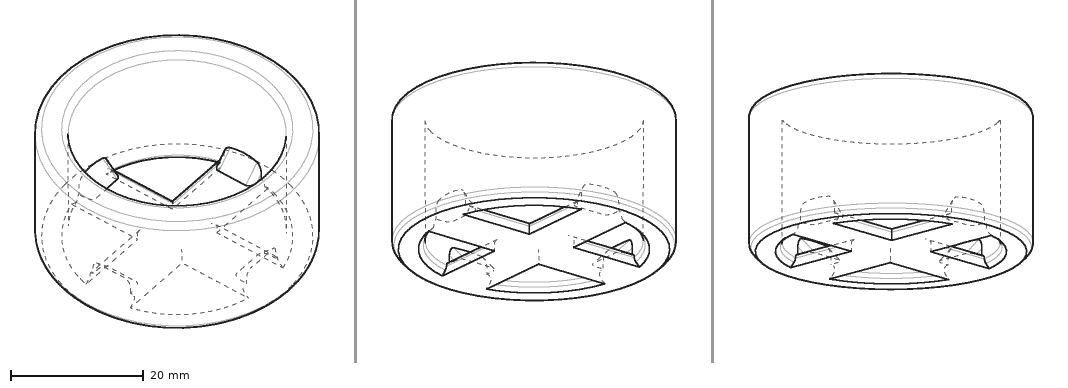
import cadquery as cq

outer_diameter = 43.0
bore_diameter = 33.0
ring_height = 22.0
edge_size = 1.0

bar_width = 8.5
floor_thickness = 2.0
floor_edge_fillet = 0.7

gusset_width = bar_width - 2 * floor_edge_fillet
gusset_fillet = 1.0
gusset_toe_radius = 13.5
gusset_slope = 1.0

outer_radius = outer_diameter / 2
bore_radius = bore_diameter / 2
embed_radius = (outer_radius + bore_radius) / 2


def make_ring():
    """Tube with rounded top rims and chamfered base edges that blend into both walls."""
    ring = cq.Workplane("XY").circle(outer_radius).circle(bore_radius).extrude(ring_height)
    ring = ring.faces("<Z").edges().chamfer(edge_size)
    ring = ring.faces("%CONE").edges("%CIRCLE and (not <Z)").fillet(edge_size)
    return ring.faces(">Z").edges().fillet(edge_size)


def make_floor():
    """Two crossing bars with rounded upper edges."""
    bar_length = 2 * embed_radius
    bar_x = cq.Workplane("XY").rect(bar_length, bar_width).extrude(floor_thickness)
    cross = bar_x.union(bar_x.rotate((0, 0, 0), (0, 0, 1), 90))
    return cross.faces(">Z").edges().fillet(floor_edge_fillet)


def make_gusset():
    """Wedge rising toward +X, with its two sloped edges rounded."""
    run = embed_radius - gusset_toe_radius
    wedge = (
        cq.Workplane("XZ")
        .moveTo(gusset_toe_radius, floor_thickness)
        .lineTo(embed_radius, floor_thickness + run * gusset_slope)
        .lineTo(embed_radius, 0)
        .lineTo(gusset_toe_radius, 0)
        .close()
        .extrude(gusset_width / 2, both=True)
    )
    sloped_edges = cq.selectors.ParallelDirSelector(cq.Vector(1, 0, gusset_slope))
    return wedge.edges(sloped_edges).fillet(gusset_fillet)


result = make_ring().union(make_floor())
gusset = make_gusset()
for quarter_turn in range(4):
    result = result.union(gusset.rotate((0, 0, 0), (0, 0, 1), 90 * quarter_turn))